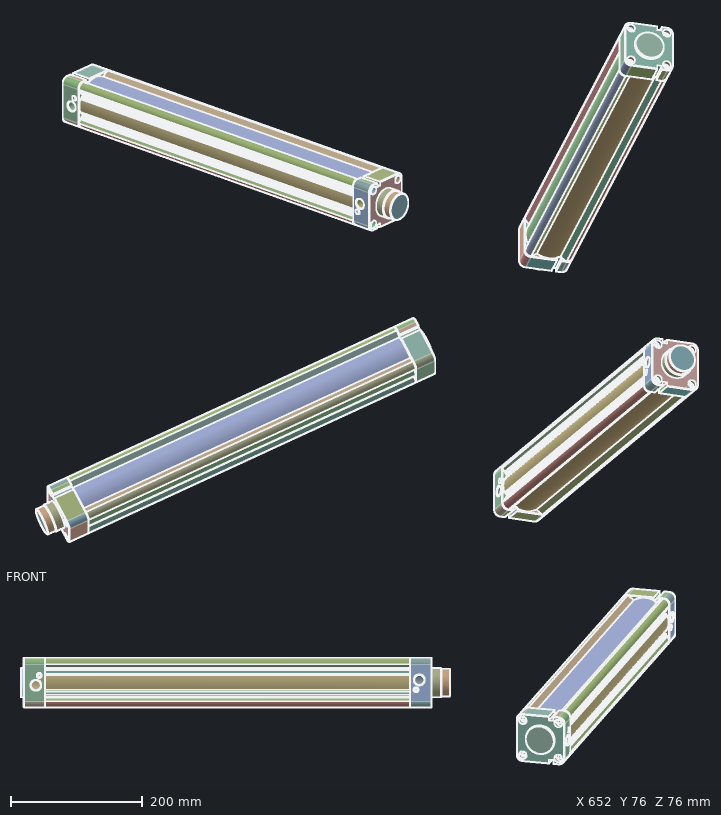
import cadquery as cq
import math

TOTAL_LENGTH = 652.0
BODY_SIZE = 76.0
REAR_SPIGOT_LENGTH = 4.0
FRONT_BOSS_LENGTH = 28.0
CAP_LENGTH = 33.5
BODY_START = REAR_SPIGOT_LENGTH
BODY_END = TOTAL_LENGTH - FRONT_BOSS_LENGTH
BODY_LENGTH = BODY_END - BODY_START
TUBE_LENGTH = BODY_LENGTH - 2 * CAP_LENGTH
BODY_MIDDLE = (BODY_START + BODY_END) / 2
HALF = BODY_SIZE / 2

CORNER_RADIUS = 10.0
CAP_EDGE_CHAMFER = 1.0
CAP_SLOT_WIDTH = 7.0
CAP_SLOT_DEPTH = 6.5
CAP_SLOT_Y = -16.7

TIE_ROD_OFFSET = 28.0
TIE_ROD_DIAMETER = 6.0
TIE_ROD_RECESS_DIAMETER = 12.0
TIE_ROD_RECESS_DEPTH = 10.0

BARREL_RADIUS = 36.0
FLANK_INNER_OFFSET = 18.6
FLANK_OUTER_OFFSET = HALF - CORNER_RADIUS

GROOVE_OFFSET = 16.1
GROOVE_MOUTH_WIDTH = 10.2
GROOVE_WIDTH = 5.0
GROOVE_LAND_DISTANCE = 34.0
GROOVE_STEP_DEPTH = 1.5
GROOVE_DEPTH = 5.0
GROOVE_LAND_OFFSET = 22.7

PORT_FROM_CAP_FACE = 19.0
PORT_OFFSET = 4.0
PORT_DIAMETER = 15.0
PORT_CHAMFER = 1.0
PORT_CHAMFER_ANGLE = 45.0
SCREW_FROM_CAP_FACE = 24.0
SCREW_OFFSET = 10.8
SCREW_HEAD_DIAMETER = 8.0
SCREW_HEAD_DEPTH = 6.0
SCREW_HOLE_DIAMETER = 4.0
CUSHION_RADIUS = 14.0
CUSHION_LENGTH = 24.0

SPIGOT_RADIUS = 22.5
SPIGOT_CHAMFER = 0.6
BOSS_SHOULDER_LENGTH = 15.0
BOSS_SHOULDER_CHAMFER = 1.4
BOSS_TIP_RADIUS = 21.3
BOSS_TIP_CHAMFER = 1.0


def section_at(x):
    """Work plane across the cylinder: local x is +Y, local y is +Z."""
    return cq.Workplane("YZ", origin=(x, 0, 0))


def front_side_at(x, z):
    """Work plane on the -Y side, with its normal pointing into the part."""
    return cq.Workplane(cq.Plane(origin=(x, -HALF, z), xDir=(1, 0, 0), normal=(0, 1, 0)))


def end_cap(start):
    cap = section_at(start).rect(BODY_SIZE, BODY_SIZE).extrude(CAP_LENGTH)
    cap = cap.edges("|X").fillet(CORNER_RADIUS)
    cap = cap.faces("<X or >X").chamfer(CAP_EDGE_CHAMFER)
    for side in (-1, 1):
        slot = section_at(start).center(CAP_SLOT_Y, side * HALF)
        cap = cap.cut(slot.rect(CAP_SLOT_WIDTH, 2 * CAP_SLOT_DEPTH).extrude(CAP_LENGTH))
    return cap


def tube_profile():
    """Closed outline of four equal sides: flank, barrel arc, flank and corner arc."""
    barrel_edge = math.sqrt(BARREL_RADIUS**2 - FLANK_INNER_OFFSET**2)
    corner_middle = FLANK_OUTER_OFFSET + CORNER_RADIUS * math.sqrt(0.5)
    side = [
        (-FLANK_INNER_OFFSET, barrel_edge),
        (0, BARREL_RADIUS),
        (FLANK_INNER_OFFSET, barrel_edge),
        (FLANK_OUTER_OFFSET, HALF),
        (corner_middle, corner_middle),
        (HALF, FLANK_OUTER_OFFSET),
    ]

    outline = section_at(BODY_START + CAP_LENGTH).moveTo(-FLANK_OUTER_OFFSET, HALF)
    for _ in range(4):
        outline = outline.lineTo(*side[0]).threePointArc(side[1], side[2])
        outline = outline.lineTo(*side[3]).threePointArc(side[4], side[5])
        side = [(v, -u) for u, v in side]
    return outline.close()


def sensor_groove(side):
    """Material to add and to remove for one groove in the -Y side of the tube."""
    def bar(inner_offset, outer_offset, outer_y, depth):
        height = outer_offset - inner_offset
        centre = (BODY_MIDDLE, -outer_y, side * (inner_offset + outer_offset) / 2)
        block = cq.Workplane("XY").box(TUBE_LENGTH, depth, height, centered=(True, False, True))
        return block.translate(centre)

    mouth_inner = GROOVE_OFFSET - GROOVE_MOUTH_WIDTH / 2
    mouth_outer = GROOVE_OFFSET + GROOVE_MOUTH_WIDTH / 2
    land = bar(mouth_inner, GROOVE_LAND_OFFSET, GROOVE_LAND_DISTANCE, GROOVE_DEPTH)
    mouth_depth = HALF - GROOVE_LAND_DISTANCE + GROOVE_STEP_DEPTH
    mouth = bar(mouth_inner, mouth_outer, HALF, mouth_depth)
    slot_inner = GROOVE_OFFSET - GROOVE_WIDTH / 2
    slot_outer = GROOVE_OFFSET + GROOVE_WIDTH / 2
    slot_depth = HALF - GROOVE_LAND_DISTANCE + GROOVE_DEPTH
    slot = bar(slot_inner, slot_outer, HALF, slot_depth)
    return land, mouth.union(slot)


def profiled_tube():
    tube = tube_profile().extrude(TUBE_LENGTH)
    for side in (-1, 1):
        land, groove = sensor_groove(side)
        tube = tube.union(land).cut(groove)
    return tube


def rear_spigot():
    spigot = section_at(0).circle(SPIGOT_RADIUS).extrude(REAR_SPIGOT_LENGTH)
    return spigot.faces("<X").chamfer(SPIGOT_CHAMFER)


def front_boss():
    shoulder = section_at(BODY_END).circle(SPIGOT_RADIUS).extrude(BOSS_SHOULDER_LENGTH)
    shoulder = shoulder.faces(">X").chamfer(BOSS_SHOULDER_CHAMFER)
    tip = section_at(BODY_END).circle(BOSS_TIP_RADIUS).extrude(FRONT_BOSS_LENGTH)
    return shoulder.union(tip.faces(">X").chamfer(BOSS_TIP_CHAMFER))


def tie_rod_holes():
    offsets = (-TIE_ROD_OFFSET, TIE_ROD_OFFSET)
    corners = [(y, z) for y in offsets for z in offsets]
    rods = section_at(BODY_START).pushPoints(corners)
    holes = rods.circle(TIE_ROD_DIAMETER / 2).extrude(BODY_LENGTH)
    for start in (BODY_START, BODY_END - TIE_ROD_RECESS_DEPTH):
        recess = section_at(start).pushPoints(corners).circle(TIE_ROD_RECESS_DIAMETER / 2)
        holes = holes.union(recess.extrude(TIE_ROD_RECESS_DEPTH))
    return holes


def cap_passages(end):
    """Cushion chamber with its port and screw hole; end is -1 for rear, 1 for front."""
    def from_cap_face(distance):
        return BODY_MIDDLE + end * (BODY_LENGTH / 2 - distance)

    port_x = from_cap_face(PORT_FROM_CAP_FACE)
    port_z = end * PORT_OFFSET
    screw_x = from_cap_face(SCREW_FROM_CAP_FACE)
    screw_z = -end * SCREW_OFFSET

    chamber = section_at(port_x - CUSHION_LENGTH / 2).circle(CUSHION_RADIUS).extrude(CUSHION_LENGTH)
    port = front_side_at(port_x, port_z).circle(PORT_DIAMETER / 2).extrude(HALF)
    rim = front_side_at(port_x, port_z).circle(PORT_DIAMETER / 2 + PORT_CHAMFER)
    rim = rim.extrude(PORT_CHAMFER, taper=PORT_CHAMFER_ANGLE)
    screw_head = front_side_at(screw_x, screw_z).circle(SCREW_HEAD_DIAMETER / 2).extrude(SCREW_HEAD_DEPTH)
    screw_hole = front_side_at(screw_x, screw_z).circle(SCREW_HOLE_DIAMETER / 2).extrude(HALF)
    return chamber.union(port).union(rim).union(screw_head).union(screw_hole)


result = profiled_tube()
for cap_start in (BODY_START, BODY_END - CAP_LENGTH):
    result = result.union(end_cap(cap_start))
result = result.union(rear_spigot()).union(front_boss())
result = result.cut(tie_rod_holes())
for cap_end in (-1, 1):
    result = result.cut(cap_passages(cap_end))